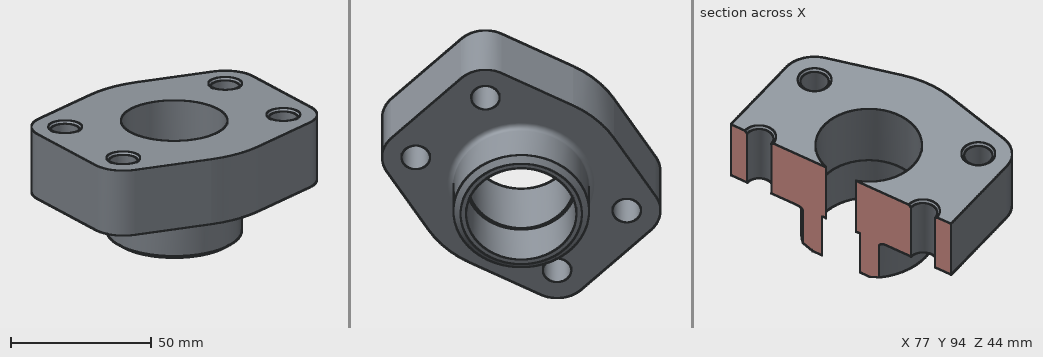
import cadquery as cq
import math

length = 94.0
width = 77.0
height = 44.0
plate_thickness = 25.0
bolt_x = 17.9
bolt_y = 35.0
bolt_diameter = 10.15
bolt_rim_diameter = 12.0
bore_diameter = 38.0
neck_bore_diameter = 39.3
neck_diameter = 48.3
neck_fillet = 2.0
bevel_height = 1.8
bevel_width = 2.5

side_radius = width / 2
corner_radius = length / 2 - bolt_y
neck_length = height - plate_thickness

flank_angle = math.atan2(bolt_y, bolt_x) - math.acos(
    (side_radius - corner_radius) / math.hypot(bolt_x, bolt_y)
)


def corner_point(angle):
    """Point on the +X +Y corner arc in the given direction from its bolt hole."""
    return (
        bolt_x + corner_radius * math.cos(angle),
        bolt_y + corner_radius * math.sin(angle),
    )


def mirrored(point, x_sign, y_sign):
    return (x_sign * point[0], y_sign * point[1])


def make_plate():
    side_end = (side_radius * math.cos(flank_angle), side_radius * math.sin(flank_angle))
    corner_start = corner_point(flank_angle)
    corner_middle = corner_point((flank_angle + math.pi / 2) / 2)
    corner_end = corner_point(math.pi / 2)
    return (
        cq.Workplane("XY")
        .moveTo(*mirrored(side_end, 1, -1))
        .threePointArc((side_radius, 0), side_end)
        .lineTo(*corner_start)
        .threePointArc(corner_middle, corner_end)
        .lineTo(*mirrored(corner_end, -1, 1))
        .threePointArc(mirrored(corner_middle, -1, 1), mirrored(corner_start, -1, 1))
        .lineTo(*mirrored(side_end, -1, 1))
        .threePointArc((-side_radius, 0), mirrored(side_end, -1, -1))
        .lineTo(*mirrored(corner_start, -1, -1))
        .threePointArc(mirrored(corner_middle, -1, -1), mirrored(corner_end, -1, -1))
        .lineTo(*mirrored(corner_end, 1, -1))
        .threePointArc(mirrored(corner_middle, 1, -1), mirrored(corner_start, 1, -1))
        .close()
        .extrude(plate_thickness)
    )


def make_neck():
    """Neck below the plate, with a fillet at its root and a bevel at its free end."""
    radius = neck_diameter / 2
    fillet_middle = neck_fillet * (1 - math.sqrt(0.5))
    return (
        cq.Workplane("XZ")
        .lineTo(radius + neck_fillet, 0)
        .threePointArc((radius + fillet_middle, -fillet_middle), (radius, -neck_fillet))
        .lineTo(radius, bevel_height - neck_length)
        .lineTo(radius - bevel_width, -neck_length)
        .lineTo(0, -neck_length)
        .close()
        .revolve(360, (0, 0), (0, 1))
    )


def cut_bolt_holes(body):
    """Through holes at the four corners, with a 90 degree countersink on top."""
    countersink_angle = 90
    centres = [(x * bolt_x, y * bolt_y) for x in (-1, 1) for y in (-1, 1)]
    return (
        body.faces(">Z")
        .workplane(origin=(0, 0, plate_thickness))
        .pushPoints(centres)
        .cskHole(bolt_diameter, bolt_rim_diameter, countersink_angle)
    )


def cut_bore(body):
    """Central through bore, slightly wider along the neck."""
    plate_bore = cq.Workplane("XY").circle(bore_diameter / 2).extrude(plate_thickness)
    neck_bore = cq.Workplane("XY").circle(neck_bore_diameter / 2).extrude(-neck_length)
    return body.cut(plate_bore).cut(neck_bore)


result = cut_bore(cut_bolt_holes(make_plate().union(make_neck())))